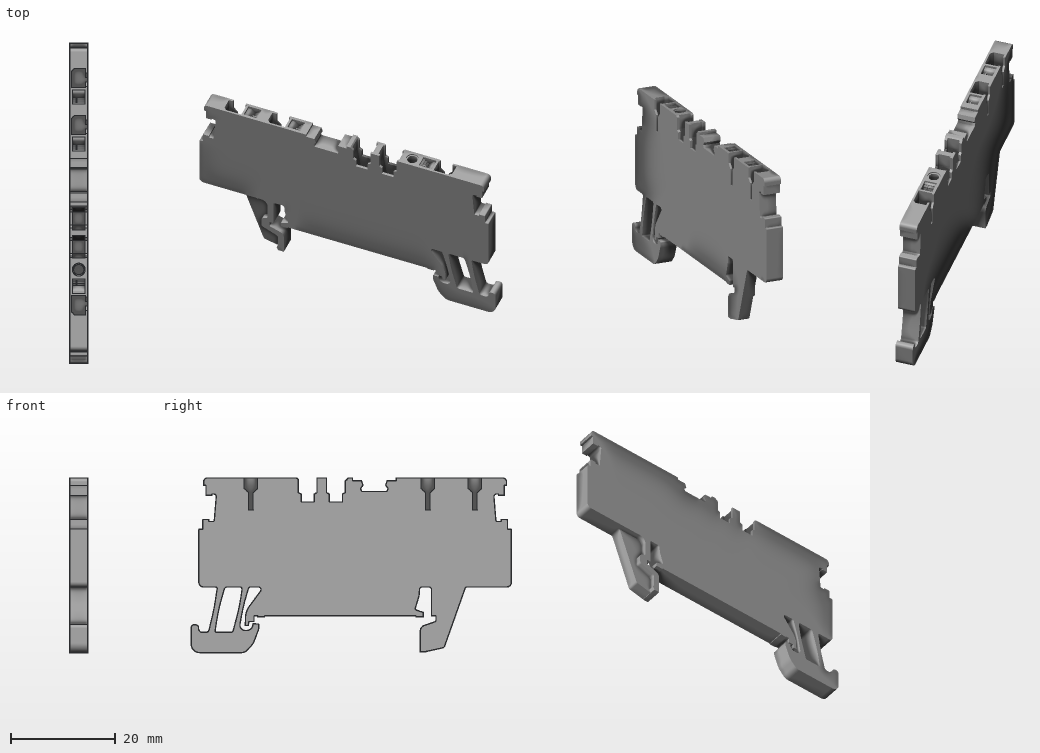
import cadquery as cq
import math


THICKNESS = 3.5
TOP_Z = 33.35
HOUSING_BASE_Z = 12.5
HOUSING_MID_Y = 0.75
RAIL_SEAT_Z = 7.0
RAIL_LIP_Z = 6.85
OVERLAP = 0.9
CLEARANCE = 0.6
LEFT_X = -THICKNESS / 2
RIGHT_X = THICKNESS / 2
ROOT_Z = HOUSING_BASE_Z + OVERLAP
CUT_Z = TOP_Z + CLEARANCE
LATCH_FLOOR_Z = 3.9
ARM_BEND = 36.65

WEB_SETBACK = 1.15

SOCKETS = ((-2.95, 1, 0.6), (-8.3, -1, 0.3))
SOCKET_NOTCH_Z = 28.75
SOCKET_FLOOR_Z = 25.05
SOCKET_STEP_Z = 30.55
SOCKET_STEP_SLOPE = 0.3
SOCKET_NECK_HALF = 1.2
SOCKET_MOUTH_HALF = 1.8
SOCKET_INNER_HALF = 2.15
SOCKET_INNER_WIDTH = 2.45

WIRE_ENTRIES = ((23.9, 1), (14.9, 1), (-19.4, -1))
ENTRY_LENGTH = 3.65
ENTRY_DEPTH = 6.1
ENTRY_WALL = 0.35
ENTRY_RIM = 0.4
ENTRY_CHAMFER = 0.55
FUNNEL_DEPTH = 2.0
FUNNEL_MOUTH = 2.55
FUNNEL_NECK = 0.85
FUNNEL_SHIFT = 0.3

SLOT_WIDTH = 2.4
SLOT_GAP = 0.4
SLOT_LENGTH = 2.7
SLOT_DEPTH = 1.45
SLOT_SILL_DEPTH = 0.5
SLOT_SILL_LENGTH = 0.6
SLOT_SILL_ROUND = 0.75
SLOT_VALLEY = 1.5
STEP_COUNT = 3
STEP_DROP = 0.2
RIB_X = -0.4
RIB_WIDTH = 0.2

HOLE_Y = -12.65
HOLE_RADIUS = 1.0
HOLE_MOUTH_RADIUS = 1.2
HOLE_MOUTH_DEPTH = 0.25
HOLE_DEPTH = 4.9


def rounded_outline(corners, start_x):
    """Closed YZ outline of (y, z) or (y, z, radius) corners; a radius gives a tangent arc."""
    stretches = []
    for i, corner in enumerate(corners):
        here = cq.Vector(corner[0], corner[1])
        radius = corner[2] if len(corner) > 2 else 0
        if radius == 0:
            stretches.append((here,))
            continue
        before = cq.Vector(*corners[i - 1][:2])
        after = cq.Vector(*corners[(i + 1) % len(corners)][:2])
        back = (before - here).normalized()
        ahead = (after - here).normalized()
        half_angle = back.getAngle(ahead) / 2
        tangent = radius / math.tan(half_angle)
        bisector = (back + ahead).normalized()
        middle = here + bisector * (radius / math.sin(half_angle) - radius)
        stretches.append((here + back * tangent, middle, here + ahead * tangent))

    outline = cq.Workplane("YZ", origin=(start_x, 0, 0)).moveTo(*stretches[0][-1].toTuple()[:2])
    for stretch in stretches[1:] + stretches[:1]:
        outline = outline.lineTo(*stretch[0].toTuple()[:2])
        if len(stretch) > 1:
            outline = outline.threePointArc(stretch[1].toTuple()[:2], stretch[2].toTuple()[:2])
    return outline.close()


def slab(corners, start_x=LEFT_X, end_x=RIGHT_X):
    """YZ outline extruded along X."""
    return rounded_outline(corners, start_x).extrude(end_x - start_x)


def mirrored(half_outline, middle_y):
    """Full outline from corners given by their distance from the middle."""
    plus_side = [(middle_y + c[0], *c[1:]) for c in half_outline]
    minus_side = [(middle_y - c[0], *c[1:]) for c in reversed(half_outline)]
    return plus_side + minus_side


def housing():
    """Main body with mirrored, recessed ends."""
    end = [
        (28.9, TOP_Z, 0.8), (28.9, 31.9), (28.45, 31.9), (28.45, 30.0), (27.3, 30.0), (27.3, 30.25),
        (26.45, 30.25, 0.4), (26.9, 25.05, 0.2), (27.85, 25.05), (27.85, 25.4), (29.1, 25.4, 0.2),
        (29.1, 23.6), (29.8, 23.6, 0.2), (29.8, HOUSING_BASE_Z, 0.9),
    ]
    return slab(mirrored(end, HOUSING_MID_Y))


def rail_seat():
    """Lower edge that rests on the rail, with a claw at each end."""
    return slab([
        (13.6, ROOT_Z), (13.6, HOUSING_BASE_Z), (13.1, HOUSING_BASE_Z, 0.4), (12.95, 10.9, 1.85),
        (12.15, 8.25, 0.3), (13.75, 7.7), (13.75, RAIL_LIP_Z), (12.35, RAIL_LIP_Z),
        (12.35, RAIL_SEAT_Z), (-16.5, RAIL_SEAT_Z), (-16.5, RAIL_LIP_Z), (-17.85, RAIL_LIP_Z),
        (-17.85, RAIL_SEAT_Z), (-18.5, RAIL_SEAT_Z), (-18.5, 5.9), (-19.5, 5.9), (-19.6, 5.2),
        (-20.2, 5.2), (-20.15, 7.9, 3.65), (-16.75, HOUSING_BASE_Z, 0.5), (-17.85, HOUSING_BASE_Z),
        (-17.85, ROOT_Z),
    ])


def fixed_foot():
    """Rigid hook: a full-thickness rib backed by a thinner web."""
    rib = slab([
        (18.6, ROOT_Z), (18.6, HOUSING_BASE_Z), (16.5, HOUSING_BASE_Z, 1.35), (16.5, 8.05, 0.3),
        (17.8, 7.45, 0.75), (17.8, 5.45, 0.6), (14.35, 4.0, 0.6), (14.35, 1.3, 0.2), (14.65, 0.85, 0.2),
        (14.3, 0.2), (13.15, 0.2), (13.15, 4.95, 1.2), (16.1, 6.0, 0.2), (16.1, RAIL_SEAT_Z),
        (15.3, RAIL_SEAT_Z), (15.3, HOUSING_BASE_Z, 0.4), (14.65, HOUSING_BASE_Z), (14.65, ROOT_Z),
    ])
    web = slab([
        (22.55, ROOT_Z), (22.55, HOUSING_BASE_Z), (21.8, HOUSING_BASE_Z, 0.5), (17.7, 1.0, 0.6),
        (14.35, 0.25), (13.75, 0.25), (13.75, 4.3), (16.5, 5.6), (17.1, RAIL_SEAT_Z), (15.9, 7.95),
        (15.9, ROOT_Z),
    ], LEFT_X + WEB_SETBACK)
    return rib.union(web)


def latch_foot():
    """Springy latch: two curved arms carrying a hook."""
    blank = slab([
        (-18.95, ROOT_Z), (-18.95, HOUSING_BASE_Z), (-19.5, HOUSING_BASE_Z, 0.35),
        (-20.6, 9.05, ARM_BEND), (-21.4, 4.3, 1.0), (-18.9, 4.3, 1.1), (-18.75, 5.55),
        (-17.6, 5.5, 0.25), (-17.6, 4.6, 1.85), (-18.7, 1.7, 2.75), (-20.3, 0, 1.5), (-30.55, 0, 1.7),
        (-30.55, 5.4, 0.7), (-29.1, 5.4, 0.7), (-29.1, LATCH_FLOOR_Z, 0.7), (-27.25, LATCH_FLOOR_Z, 0.55),
        (-26.2, 8.1, ARM_BEND), (-25.55, HOUSING_BASE_Z, 0.3), (-26.2, HOUSING_BASE_Z),
        (-26.2, ROOT_Z),
    ])
    window = slab([
        (-20.75, HOUSING_BASE_Z, 0.4), (-24.05, HOUSING_BASE_Z, 0.55), (-25.35, 8.1, ARM_BEND),
        (-25.95, LATCH_FLOOR_Z, 0.25), (-22.6, LATCH_FLOOR_Z, 0.4), (-21.3, 8.8, ARM_BEND),
    ])
    return blank.cut(window)


def marker_groove():
    """Undercut groove for a label, right through the plate."""
    half = [(4.15, CUT_Z), (4.15, 32.8), (2.45, 32.8), (2.15, 31.95), (2.6, 31.3), (2.4, 30.8)]
    return slab(mirrored(half, 4.4))


def test_socket(middle_y, outer_side, edge_break_size):
    """Stepped notch through the plate over a wider, deeper socket; the outer top edge is broken."""
    mouth = SOCKET_MOUTH_HALF
    notch = slab(mirrored([
        (mouth, CUT_Z), (mouth, SOCKET_STEP_Z), (SOCKET_NECK_HALF, SOCKET_STEP_Z - SOCKET_STEP_SLOPE),
        (SOCKET_NECK_HALF, SOCKET_NOTCH_Z),
    ], middle_y))
    edge_y = middle_y + outer_side * mouth
    edge_break = slab([
        (edge_y, TOP_Z), (edge_y + outer_side * edge_break_size, TOP_Z),
        (edge_y, TOP_Z - edge_break_size),
    ])
    inside = slab(mirrored([
        (SOCKET_INNER_HALF, CUT_Z), (SOCKET_INNER_HALF, SOCKET_STEP_Z),
        (SOCKET_NECK_HALF, SOCKET_FLOOR_Z),
    ], middle_y), -SOCKET_INNER_WIDTH / 2, SOCKET_INNER_WIDTH / 2)
    return notch.union(edge_break).union(inside)


def wire_entry(middle_y, outer_side):
    """Deep pocket with one chamfered corner, opening to +X through a funnel."""
    half = ENTRY_LENGTH / 2
    outer_y = middle_y + outer_side * half
    inner_y = middle_y - outer_side * half
    wall_x = LEFT_X + ENTRY_WALL
    rim_x = RIGHT_X - ENTRY_RIM
    pocket = (
        cq.Workplane("XY", origin=(0, 0, TOP_Z - ENTRY_DEPTH))
        .polyline([
            (rim_x, outer_y), (wall_x + ENTRY_CHAMFER, outer_y),
            (wall_x, outer_y - outer_side * ENTRY_CHAMFER), (wall_x, inner_y), (rim_x, inner_y),
        ])
        .close()
        .extrude(ENTRY_DEPTH + CLEARANCE)
    )
    mouth = FUNNEL_MOUTH / 2
    neck = FUNNEL_NECK / 2
    neck_z = TOP_Z - FUNNEL_DEPTH
    funnel = slab(mirrored([
        (mouth, CUT_Z), (mouth, neck_z), (neck, neck_z - (mouth - neck)), (neck, TOP_Z - ENTRY_DEPTH),
    ], middle_y - outer_side * FUNNEL_SHIFT), rim_x)
    return pocket.union(funnel)


def release_slot(entry_y, outer_side):
    """Slot with a sill by the wire entry, a rounded slope down, then ribbed steps back up."""
    start_y = entry_y - outer_side * (ENTRY_LENGTH / 2 + SLOT_GAP)
    sill_z = TOP_Z - SLOT_SILL_DEPTH
    sill_end_y = start_y - outer_side * SLOT_SILL_LENGTH
    valley_z = TOP_Z - SLOT_DEPTH
    valley_y = start_y - outer_side * SLOT_VALLEY
    tread = (SLOT_LENGTH - SLOT_VALLEY) / STEP_COUNT
    rise = SLOT_DEPTH / (STEP_COUNT + 1)

    profile = [
        (start_y, CUT_Z), (start_y, sill_z), (sill_end_y, sill_z, SLOT_SILL_ROUND), (valley_y, valley_z),
    ]
    for step in range(STEP_COUNT):
        step_y = valley_y - outer_side * tread * step
        step_z = valley_z + rise * (step + 1)
        profile.append((step_y, step_z - STEP_DROP))
        profile.append((step_y - outer_side * tread, step_z))
    profile.append((start_y - outer_side * SLOT_LENGTH, CUT_Z))

    slot = slab(profile, -SLOT_WIDTH / 2, SLOT_WIDTH / 2)
    rib_middle_y = valley_y - outer_side * (SLOT_LENGTH - SLOT_VALLEY) / 2
    rib_height = SLOT_DEPTH - SLOT_SILL_DEPTH
    rib = cq.Workplane("XY", origin=(RIB_X, rib_middle_y, valley_z)).box(
        RIB_WIDTH, SLOT_LENGTH - SLOT_VALLEY, rib_height, centered=(True, True, False)
    )
    return slot.cut(rib)


def test_hole():
    """Blind round hole with a shallow counterbore at the top."""
    top = cq.Workplane("XY", origin=(0, HOLE_Y, TOP_Z))
    bore = top.circle(HOLE_RADIUS).extrude(-HOLE_DEPTH)
    mouth = top.circle(HOLE_MOUTH_RADIUS).extrude(-HOLE_MOUTH_DEPTH)
    return bore.union(mouth)


result = housing().union(rail_seat()).union(fixed_foot()).union(latch_foot())
result = result.cut(marker_groove()).cut(test_hole())
for socket_y, socket_side, break_size in SOCKETS:
    result = result.cut(test_socket(socket_y, socket_side, break_size))
for entry_mid_y, end_side in WIRE_ENTRIES:
    result = result.cut(wire_entry(entry_mid_y, end_side))
    result = result.cut(release_slot(entry_mid_y, end_side))